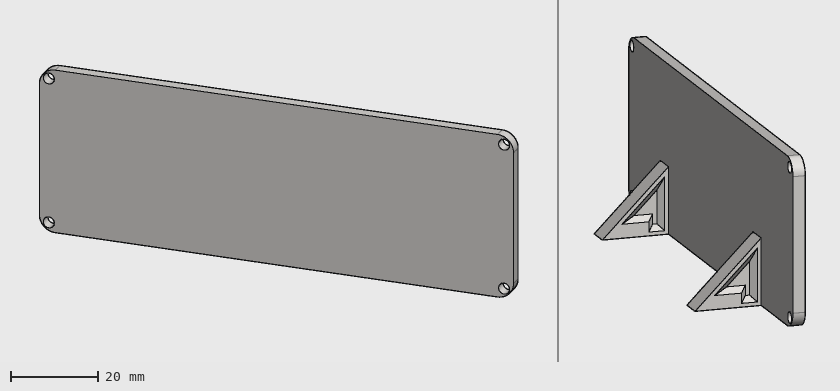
import cadquery as cq
import math

plate_length = 116.0
plate_height = 40.3
plate_thickness = 3.0
corner_radius = 4.0

hole_diameter = 2.7
hole_inset = 2.3

overall_depth = 19.0
bracket_leg = overall_depth - plate_thickness
bracket_width = 5.8
bracket_inset = 22.4

pocket_border = 0.9
step_rise = 2.4
step_run = 3.8
pocket_top_height = 13.7
pocket_depth = 1.4


def make_plate():
    """Rounded plate with a through hole near each corner."""
    plate = (
        cq.Workplane("XY")
        .box(plate_length, plate_thickness, plate_height, centered=(True, False, False))
        .edges("|Y")
        .fillet(corner_radius)
    )
    return (
        plate.faces("<Y")
        .workplane(centerOption="CenterOfBoundBox")
        .rect(plate_length - 2 * hole_inset, plate_height - 2 * hole_inset, forConstruction=True)
        .vertices()
        .hole(hole_diameter)
    )


def pocket_outline(inset):
    """Triangle with a rectangular foot beside the plate, sides moved in by inset, as (Y, Z) points."""
    near_y = plate_thickness + pocket_border + inset
    foot_z = pocket_border + inset
    step_y = plate_thickness + pocket_border + step_run - inset
    step_z = pocket_border + step_rise + inset
    slope_sum = plate_thickness + pocket_border + pocket_top_height - inset * math.sqrt(2)
    return [
        (near_y, foot_z),
        (step_y, foot_z),
        (step_y, step_z),
        (slope_sum - step_z, step_z),
        (near_y, slope_sum - near_y),
    ]


def make_pocket(side_x):
    """Cutter with 45 degree walls and mitred corners, narrowing from side_x toward +X."""
    return (
        cq.Workplane("YZ", origin=(side_x, 0, 0))
        .polyline(pocket_outline(0))
        .close()
        .workplane(offset=pocket_depth)
        .polyline(pocket_outline(pocket_depth))
        .close()
        .loft(ruled=True)
    )


def make_bracket(side_x):
    """Triangular bracket from side_x toward +X, with its pocket cut out."""
    bracket = (
        cq.Workplane("YZ", origin=(side_x, 0, 0))
        .polyline([(plate_thickness, 0), (overall_depth, 0), (plate_thickness, bracket_leg)])
        .close()
        .extrude(bracket_width)
    )
    return bracket.cut(make_pocket(side_x))


result = make_plate()
left_side_x = bracket_inset - plate_length / 2
right_side_x = plate_length / 2 - bracket_inset - bracket_width
for bracket_side_x in (left_side_x, right_side_x):
    result = result.union(make_bracket(bracket_side_x))